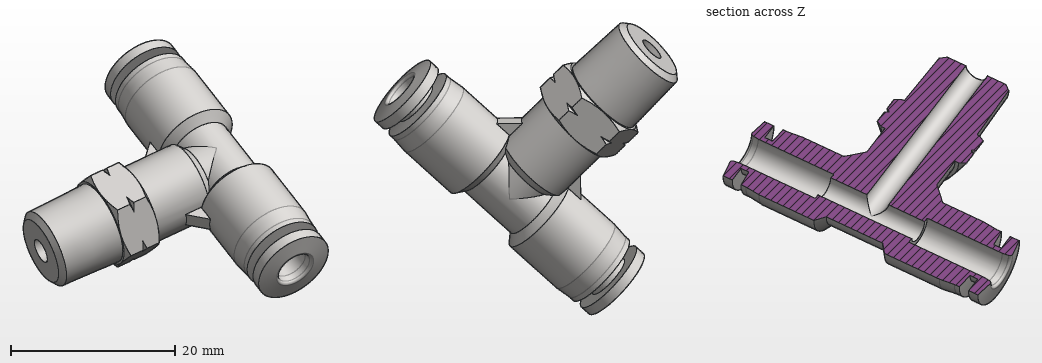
import cadquery as cq
import math

run_half_length = 18.5
body_radius = 5.25
body_end = 15.72
body_rim = 15.5
body_rim_radius = 5.05
taper_start = 12.8
taper_end = 14.8
neck_radius = 4.0
branch_radius = 5.0
shoulder_step = branch_radius - neck_radius

collar_stem_radius = 2.85
collar_radius = 4.95
collar_inner_face = 16.75
collar_edge = 18.1

bore_radius = 1.5
socket_radius = 2.15
socket_floor = 6.65
lead_in_radius = 2.25
lead_in_length = 0.8
mouth_rounding = 0.37
mouth_radius = lead_in_radius + mouth_rounding

nut_start = 11.5
nut_length = 5.0
nut_across_flats = 11.0
nut_bevel_angle = 30
nut_groove_radius = 5.85

branch_length = 25.0
thread_end_radius = 4.95
thread_taper = 1 / 16
thread_tip_radius = 4.18
thread_chamfer_length = 0.65

gusset_reach = 12.3
gusset_width = 1.95

nut_end = nut_start + nut_length
nut_flat_radius = nut_across_flats / 2
nut_corner_radius = nut_flat_radius / math.cos(math.pi / 6)
bevel_slope = math.tan(math.radians(nut_bevel_angle))


def turned_on_x(points):
    """Solid of revolution about X from (x, radius) points."""
    return cq.Workplane("XY").polyline(points).close().revolve(360, (0, 0, 0), (1, 0, 0))


def turned_on_branch(points):
    """Solid of revolution about Y from (distance along -Y, radius) points."""
    outline = [(radius, -distance) for distance, radius in points]
    return cq.Workplane("XY").polyline(outline).close().revolve(360, (0, 0, 0), (0, 1, 0))


def run_half():
    return turned_on_x([
        (0, 0),
        (0, neck_radius),
        (neck_radius, neck_radius),
        (branch_radius, body_radius),
        (taper_start, body_radius),
        (taper_end, body_rim_radius),
        (body_rim, body_rim_radius),
        (body_end, collar_stem_radius),
        (collar_inner_face, collar_stem_radius),
        (collar_inner_face, collar_radius),
        (collar_edge, collar_radius),
        (run_half_length, mouth_radius),
        (run_half_length, 0),
    ])


def socket():
    """Through bore, tube socket, tapered lead-in and rounded mouth of one run end."""
    lead_in_start = run_half_length - mouth_rounding
    arc_offset = mouth_rounding * math.sin(math.pi / 4)
    return (
        cq.Workplane("XY")
        .moveTo(0, 0)
        .lineTo(0, bore_radius)
        .lineTo(socket_floor, bore_radius)
        .lineTo(socket_floor, socket_radius)
        .lineTo(lead_in_start - lead_in_length, socket_radius)
        .lineTo(lead_in_start, lead_in_radius)
        .threePointArc(
            (lead_in_start + arc_offset, mouth_radius - arc_offset),
            (run_half_length, mouth_radius),
        )
        .lineTo(run_half_length, 0)
        .close()
        .revolve(360, (0, 0, 0), (1, 0, 0))
    )


def branch():
    chamfer_start = branch_length - thread_chamfer_length
    thread_start_radius = thread_end_radius + (chamfer_start - nut_end) * thread_taper / 2
    return turned_on_branch([
        (0, 0),
        (0, neck_radius),
        (neck_radius - shoulder_step, neck_radius),
        (neck_radius, branch_radius),
        (nut_end, branch_radius),
        (nut_end, thread_start_radius),
        (chamfer_start, thread_end_radius),
        (branch_length, thread_tip_radius),
        (branch_length, 0),
    ])


def nut():
    prism = (
        cq.Workplane("XZ", origin=(0, -nut_start, 0))
        .polygon(6, 2 * nut_corner_radius)
        .extrude(nut_length)
    )
    bevel_depth = (nut_corner_radius - nut_flat_radius) * bevel_slope
    groove_half_width = (nut_corner_radius - nut_groove_radius) * bevel_slope
    nut_middle = nut_start + nut_length / 2
    envelope = turned_on_branch([
        (nut_start, 0),
        (nut_start, nut_flat_radius),
        (nut_start + bevel_depth, nut_corner_radius),
        (nut_middle - groove_half_width, nut_corner_radius),
        (nut_middle, nut_groove_radius),
        (nut_middle + groove_half_width, nut_corner_radius),
        (nut_end - bevel_depth, nut_corner_radius),
        (nut_end, nut_flat_radius),
        (nut_end, 0),
    ])
    return prism.intersect(envelope)


def gussets():
    """One trapezoidal plate whose 45 degree edges brace the branch on both sides."""
    inner = neck_radius
    tip = gusset_reach - inner
    return (
        cq.Workplane("XY")
        .polyline([(-tip, -inner), (tip, -inner), (inner, -tip), (-inner, -tip)])
        .close()
        .extrude(gusset_width / 2, both=True)
    )


def branch_bore():
    return cq.Workplane("XZ").circle(bore_radius).extrude(branch_length)


half = run_half()
body = half.union(half.mirror("YZ")).union(branch()).union(nut()).union(gussets())
right_socket = socket()
result = body.cut(right_socket.union(right_socket.mirror("YZ"))).cut(branch_bore())